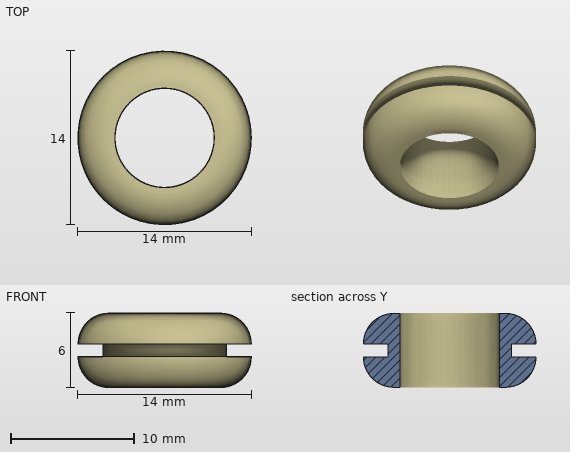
import cadquery as cq

outer_diameter = 14.0
height = 6.0
groove_width = 1.0
groove_diameter = 10.0
bore_diameter = 8.0

flange_height = (height - groove_width) / 2
rounding_radius = flange_height


def make_flange():
    """Solid disc on the XY plane with its upper edge rounded over its full height."""
    outer_radius = outer_diameter / 2
    end_face_radius = outer_radius - rounding_radius
    arc_offset = rounding_radius * 0.5**0.5
    return (
        cq.Workplane("XZ")
        .lineTo(outer_radius, 0)
        .threePointArc(
            (end_face_radius + arc_offset, arc_offset),
            (end_face_radius, flange_height),
        )
        .lineTo(0, flange_height)
        .close()
        .revolve(360, (0, 0), (0, 1))
    )


upper_flange = make_flange().translate((0, 0, groove_width / 2))
lower_flange = upper_flange.mirror("XY")
core = cq.Workplane("XY").cylinder(groove_width, groove_diameter / 2)
bore = cq.Workplane("XY").cylinder(height, bore_diameter / 2)

result = core.union(upper_flange).union(lower_flange).cut(bore)